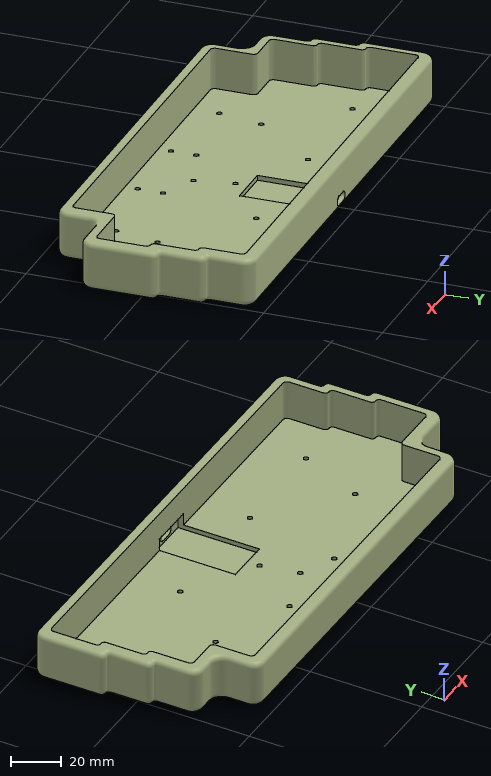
import cadquery as cq
import math

length = 209.8
width = 89.0
height = 20.5
wall = 5.0
floor_thickness = 3.0
rim_fillet = 2.5

side_step = 3.4
row_pitch = 19.0
shoulder_y = 18.7
left_low_step_y = shoulder_y + row_pitch
left_high_step_y = left_low_step_y + row_pitch
right_low_step_y = 51.2
right_high_step_y = right_low_step_y + row_pitch
foot_left = 22.5
foot_right = length - 22.7

outer_corner = 5.0
convex_step_corner = 2.5
concave_step_corner = 0.73
inner_corner = 1.9
inner_step_corner = 1.5

match_tolerance = 0.02

hole_diameter = 2.0
hole_centers = [
    (25.4, 63.4), (74.5, 63.4), (131.5, 63.4), (177.5, 63.4),
    (51.2, 34.8), (165.5, 34.8),
    (47.8, 16.0), (161.7, 16.0),
    (86.5, 21.0), (123.1, 21.0),
    (86.5, 10.3), (123.1, 10.3),
    (104.9, 44.5), (108.2, 28.1),
]

pocket_center = 104.9
pocket_width = 19.7
pocket_length = 34.0
pocket_depth = 2.0
pocket_wall_bite = 2.5
pocket_notch_height = 5.5
pocket_top = floor_thickness + pocket_notch_height
port_width = 8.4
port_height = 4.0
port_z = 4.0


def outline(inset):
    """Corners of the stepped outline, moved inward by the given inset, with their kind."""
    left = [inset + side_step * step for step in range(3)]
    right = [length - inset - side_step * step for step in range(3)]
    return [
        ((foot_left + inset, inset), "main"),
        ((foot_right - inset, inset), "main"),
        ((foot_right - inset, shoulder_y + inset), "main"),
        ((right[0], shoulder_y + inset), "main"),
        ((right[0], right_low_step_y - inset), "convex"),
        ((right[1], right_low_step_y - inset), "concave"),
        ((right[1], right_high_step_y - inset), "convex"),
        ((right[2], right_high_step_y - inset), "concave"),
        ((right[2], width - inset), "main"),
        ((left[0], width - inset), "main"),
        ((left[0], left_high_step_y + inset), "convex"),
        ((left[1], left_high_step_y + inset), "concave"),
        ((left[1], left_low_step_y + inset), "convex"),
        ((left[2], left_low_step_y + inset), "concave"),
        ((left[2], shoulder_y + inset), "main"),
        ((foot_left + inset, shoulder_y + inset), "main"),
    ]


def stands_on(edge, points):
    """Whether a vertical edge rises from one of the given XY points."""
    center = edge.Center()
    return any(math.hypot(center.x - x, center.y - y) < match_tolerance for x, y in points)


def stepped_block(inset, base_z, block_height, radii):
    """Prism on the stepped outline with every vertical corner rounded."""
    corners = outline(inset)
    points = [point for point, _ in corners]
    block = cq.Workplane("XY").workplane(offset=base_z).polyline(points).close().extrude(block_height)
    for kind, radius in radii.items():
        kind_points = [point for point, corner_kind in corners if corner_kind == kind]
        edges = [edge for edge in block.edges("|Z").vals() if stands_on(edge, kind_points)]
        block = block.newObject(edges).fillet(radius)
    return block


def case_shell():
    """Open tray with a rounded rim and a rounded bottom edge."""
    outer_radii = {"main": outer_corner, "convex": convex_step_corner, "concave": concave_step_corner}
    inner_radii = {"main": inner_corner, "convex": inner_step_corner, "concave": inner_step_corner}
    body = stepped_block(0, 0, height, outer_radii)
    body = body.faces("<Z or >Z").edges().fillet(rim_fillet)
    cavity = stepped_block(wall, floor_thickness, height, inner_radii)
    return body.cut(cavity)


def screw_holes():
    return cq.Workplane("XY").pushPoints(hole_centers).circle(hole_diameter / 2).extrude(floor_thickness)


def board_pocket():
    """Recess in the floor that also bites a notch into the back wall."""
    front_y = width - wall - pocket_length
    bottom_z = floor_thickness - pocket_depth
    return cq.Workplane("XY", origin=(pocket_center, front_y, bottom_z)).box(
        pocket_width,
        pocket_length + pocket_wall_bite,
        pocket_top - bottom_z,
        centered=(True, False, False),
    )


def connector_port():
    """Round-ended opening through the back wall."""
    return (
        cq.Workplane("XZ", origin=(pocket_center, width, port_z))
        .slot2D(port_width, port_height)
        .extrude(wall)
    )


result = case_shell().cut(screw_holes()).cut(board_pocket()).cut(connector_port())